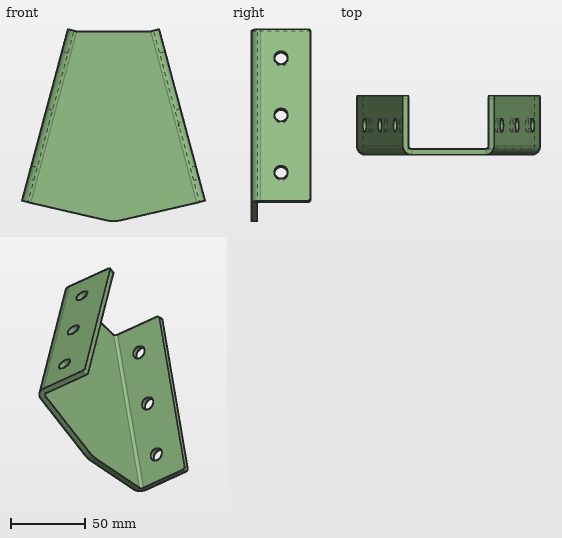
import cadquery as cq
import math

overall_width = 123.8
overall_height = 129.9
flange_depth = 40.0
flange_length = 120.0
flange_tilt = 15.0
thickness = 4.0
bend_radius = 6.0
corner_radius = 2.0
tip_radius = 20.0
hole_diameter = 9.0
hole_pitch = 40.0
hole_count = 3

tilt_sin = math.sin(math.radians(flange_tilt))
tilt_cos = math.cos(math.radians(flange_tilt))

corner_x = overall_width / 2
corner_z = overall_height - flange_length * tilt_cos

fold_low_x = corner_x - bend_radius * tilt_cos
fold_low_z = corner_z - bend_radius * tilt_sin
fold_high_x = fold_low_x - flange_length * tilt_sin
fold_high_z = fold_low_z + flange_length * tilt_cos


def make_web():
    """Flat front plate, with its rounded tip resting on Z = 0."""
    centre_rise = tip_radius - fold_low_z
    centre_distance = math.hypot(fold_low_x, centre_rise)
    slope = math.asin(tip_radius / centre_distance) - math.atan2(centre_rise, fold_low_x)
    tangent_x = tip_radius * math.sin(slope)
    tangent_z = tip_radius * (1 - math.cos(slope))
    return (
        cq.Workplane("XZ")
        .moveTo(-fold_high_x, fold_high_z)
        .lineTo(fold_high_x, fold_high_z)
        .lineTo(fold_low_x, fold_low_z)
        .lineTo(tangent_x, tangent_z)
        .threePointArc((0, 0), (-tangent_x, tangent_z))
        .lineTo(-fold_low_x, fold_low_z)
        .close()
        .extrude(-thickness)
    )


def make_right_flange():
    """Fold and flange, built square to the tilted edge, with its holes."""
    lower_corner = (corner_x, 0, corner_z)
    edge_direction = (-tilt_sin, 0, tilt_cos)
    inward = (-tilt_cos, 0, -tilt_sin)
    outward = (tilt_cos, 0, tilt_sin)

    section_plane = cq.Plane(origin=lower_corner, xDir=inward, normal=edge_direction)
    inner_radius = bend_radius - thickness
    flange = (
        cq.Workplane(section_plane)
        .moveTo(0, -flange_depth)
        .lineTo(0, -bend_radius)
        .radiusArc((bend_radius, 0), bend_radius)
        .lineTo(bend_radius, -thickness)
        .radiusArc((thickness, -bend_radius), -inner_radius)
        .lineTo(thickness, -flange_depth)
        .close()
        .extrude(flange_length)
    )
    free_corners = cq.selectors.BoxSelector(
        (-overall_width, flange_depth - corner_radius, -overall_height),
        (overall_width, flange_depth + corner_radius, 2 * overall_height),
    )
    across_thickness = cq.selectors.ParallelDirSelector(cq.Vector(*outward))
    flange = flange.edges(free_corners).edges(across_thickness).fillet(corner_radius)

    face_plane = cq.Plane(origin=lower_corner, xDir=(0, 1, 0), normal=outward)
    first_hole = (flange_length - (hole_count - 1) * hole_pitch) / 2
    centres = [(flange_depth / 2, first_hole + i * hole_pitch) for i in range(hole_count)]
    holes = (
        cq.Workplane(face_plane)
        .pushPoints(centres)
        .circle(hole_diameter / 2)
        .extrude(thickness, both=True)
    )
    return flange.cut(holes)


right_flange = make_right_flange()
left_flange = right_flange.mirror("YZ")
result = make_web().union(right_flange).union(left_flange)